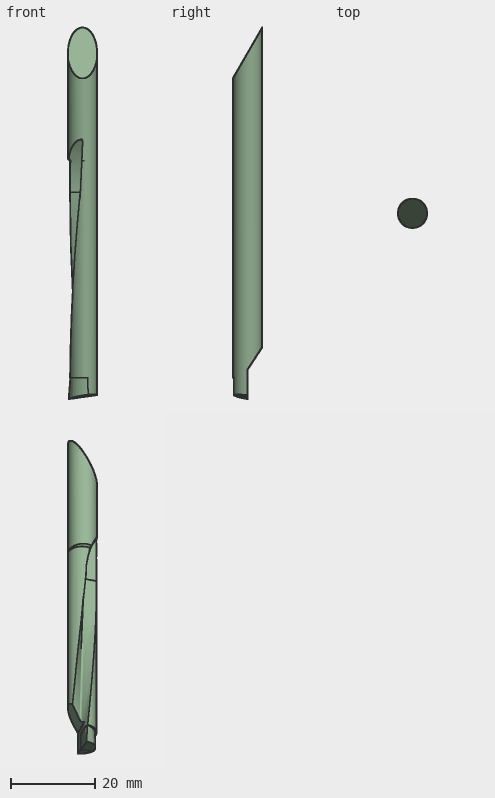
import cadquery as cq
import math


overall_length = 88.31
shank_radius = 3.5
top_cut_angle = 30.0
beyond = 3 * shank_radius
below_tip = -1.0

neck_shift = 0.5
neck_top = 56.65
neck_shoulder_height = 0.55

flute_twist_top = 49.1
flute_twist_per_mm = 1.7
flute_axis_x = -0.05
flute_axis_y = -0.05
flute_wall_x = -0.5
flute_floor_y = 0.1
flute_corner_radius = 0.4
runout_radius = 24.0
runout_reach = 1.2 * shank_radius
runout_wall_angle = 2.6

rake_y = 0.0
rake_top = 7.0
rake_slope_top = 12.3

tip_height = 5.15
relief_radius = 4.08
relief_center_y = 0.8
edge_x_at_neck = -2.98
edge_x_at_bottom = -3.3
end_edge_angle = 8.0
end_relief_angle = 8.0


def upright_cylinder(radius, bottom, top, x=0.0):
    return cq.Workplane("XY").workplane(offset=bottom).center(x, 0).circle(radius).extrude(top - bottom)


def prism_along_x(outline):
    """A closed (Y, Z) outline carried right across the bar."""
    return outline.close().extrude(beyond, both=True)


def make_top_cut():
    low_z = overall_length - 2 * shank_radius / math.tan(math.radians(top_cut_angle))
    outline = (
        cq.Workplane("YZ")
        .moveTo(shank_radius, overall_length)
        .lineTo(-shank_radius, low_z)
        .lineTo(-beyond, low_z)
        .lineTo(-beyond, overall_length)
    )
    return prism_along_x(outline)


def make_neck_envelope():
    """The offset neck cylinder, its conical shoulder, and clear space above for the shank."""
    shoulder_top = neck_top + neck_shoulder_height
    neck = upright_cylinder(shank_radius, 0, neck_top, neck_shift)
    shoulder = (
        cq.Workplane("XZ")
        .moveTo(0, neck_top)
        .lineTo(shank_radius, neck_top)
        .lineTo(shank_radius + neck_shoulder_height, shoulder_top)
        .lineTo(0, shoulder_top)
        .close()
        .revolve(360, (0, 0, 0), (0, 1, 0))
        .translate((neck_shift, 0, 0))
    )
    clear_space = upright_cylinder(beyond, shoulder_top, overall_length)
    return neck.union(shoulder).union(clear_space)


def make_twisted_flute():
    length = flute_twist_top - below_tip
    twist = flute_twist_per_mm * length
    round_offset = flute_corner_radius * (1 - math.sqrt(0.5))
    section = (
        cq.Workplane("XY")
        .moveTo(-beyond, flute_floor_y)
        .lineTo(flute_wall_x - flute_corner_radius, flute_floor_y)
        .threePointArc(
            (flute_wall_x - round_offset, flute_floor_y - round_offset),
            (flute_wall_x, flute_floor_y - flute_corner_radius),
        )
        .lineTo(flute_wall_x, -beyond)
        .lineTo(-beyond, -beyond)
        .close()
    )
    return (
        section.translate((-flute_axis_x, -flute_axis_y, 0))
        .twistExtrude(length, twist)
        .rotate((0, 0, 0), (0, 0, 1), -twist)
        .translate((flute_axis_x, flute_axis_y, below_tip))
    )


def make_flute_runout():
    """The top of the flute: its floor curves out to the -Y side of the bar."""
    drop = flute_floor_y + runout_reach
    rise = math.sqrt(runout_radius**2 - (runout_radius - drop) ** 2)
    half_angle = math.asin(rise / runout_radius) / 2
    top = flute_twist_top + rise
    floor_shape = prism_along_x(
        cq.Workplane("YZ")
        .moveTo(flute_floor_y, flute_twist_top)
        .threePointArc(
            (
                flute_floor_y - runout_radius * (1 - math.cos(half_angle)),
                flute_twist_top + runout_radius * math.sin(half_angle),
            ),
            (flute_floor_y - drop, top),
        )
        .lineTo(-beyond, top)
        .lineTo(-beyond, flute_twist_top)
    )
    wall_top_x = flute_wall_x + rise * math.tan(math.radians(runout_wall_angle))
    wall_shape = (
        cq.Workplane("XZ")
        .moveTo(flute_wall_x, flute_twist_top)
        .lineTo(wall_top_x, top)
        .lineTo(-beyond, top)
        .lineTo(-beyond, flute_twist_top)
        .close()
        .extrude(beyond, both=True)
    )
    runout = floor_shape.intersect(wall_shape)
    corner_point = (flute_wall_x, flute_floor_y - drop / 4, (flute_twist_top + top) / 2)
    return runout.edges(cq.NearestToPointSelector(corner_point)).fillet(flute_corner_radius)


def make_rake_cut():
    """The +Y half below a sloping end, down past the nose."""
    slope = (rake_slope_top - rake_top) / (shank_radius - rake_y)
    outline = (
        cq.Workplane("YZ")
        .moveTo(rake_y, -beyond)
        .lineTo(rake_y, rake_top)
        .lineTo(beyond, rake_top + slope * (beyond - rake_y))
        .lineTo(beyond, -beyond)
    )
    return prism_along_x(outline)


def make_end_cut():
    """Everything below the end face, which is lowest at the nose."""
    block = cq.Workplane("XY").box(4 * beyond, 4 * beyond, beyond, centered=(True, True, False))
    return (
        block.translate((0, 0, -beyond))
        .rotate((0, 0, 0), (1, 0, 0), -end_relief_angle)
        .rotate((0, 0, 0), (0, 1, 0), -end_edge_angle)
        .translate((edge_x_at_bottom, rake_y, 0))
    )


def relief_center_x(z):
    lean = (edge_x_at_neck - edge_x_at_bottom) / tip_height
    edge_to_center = math.sqrt(relief_radius**2 - (relief_center_y - rake_y) ** 2)
    return edge_x_at_bottom + lean * z + edge_to_center


def relief_meets_shank_x(z):
    """X of the -Y crossing of the relief circle and the shank circle at one height."""
    center_x = relief_center_x(z)
    spacing = math.hypot(center_x, relief_center_y)
    along = (spacing**2 + shank_radius**2 - relief_radius**2) / (2 * spacing)
    across = math.sqrt(shank_radius**2 - along**2)
    return (along * center_x + across * relief_center_y) / spacing


def make_relief_envelope():
    """A leaning cylinder that gives clearance behind the side cutting edge."""
    bottom = below_tip
    top = tip_height - below_tip
    return (
        cq.Workplane("XY", origin=(relief_center_x(bottom), relief_center_y, bottom))
        .circle(relief_radius)
        .workplane(offset=top - bottom)
        .center(relief_center_x(top) - relief_center_x(bottom), 0)
        .circle(relief_radius)
        .loft(ruled=True)
    )


def make_tip_seat():
    """The space the tip fills: a flat roof and a leaning wall on its +X side."""
    return (
        cq.Workplane("XZ")
        .moveTo(-beyond, tip_height)
        .lineTo(relief_meets_shank_x(tip_height), tip_height)
        .lineTo(relief_meets_shank_x(below_tip), below_tip)
        .lineTo(-beyond, below_tip)
        .close()
        .extrude(beyond, both=True)
    )


def trim_cutting_end(body):
    return body.cut(make_twisted_flute()).cut(make_rake_cut()).cut(make_end_cut())


def make_bar():
    bar = upright_cylinder(shank_radius, 0, overall_length)
    bar = bar.cut(make_top_cut()).cut(make_tip_seat())
    bar = bar.intersect(make_neck_envelope())
    return trim_cutting_end(bar.cut(make_flute_runout()))


def make_cutting_tip():
    tip = upright_cylinder(shank_radius, 0, tip_height)
    tip = tip.intersect(make_tip_seat()).intersect(make_relief_envelope())
    return trim_cutting_end(tip)


bar = make_bar()
cutting_tip = make_cutting_tip()

result = cq.Compound.makeCompound([bar.val(), cutting_tip.val()])